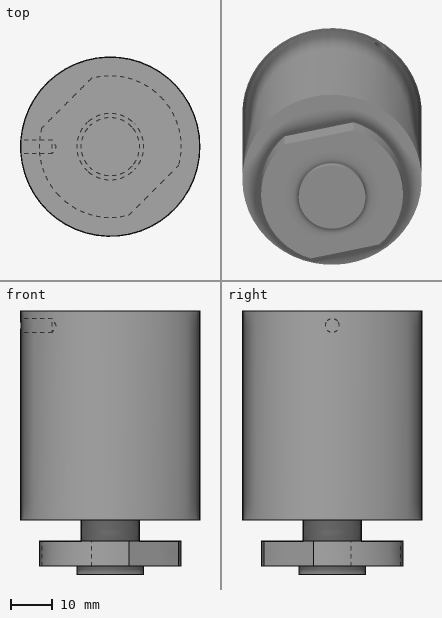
import cadquery as cq

total_height = 63.2
body_diameter = 43.0

stub_diameter = 16.0
stub_height = 2.0
plate_diameter = 34.0
plate_width_across_flats = 29.5
plate_height = 6.0
plate_angle = 45.0
neck_diameter = 13.95
neck_height = 5.0
body_height = total_height - stub_height - plate_height - neck_height

hole_diameter = 3.3
hole_drop = 3.55
hole_depth = 7.6
hole_tip_length = 0.95


def cylinder(diameter, bottom, height):
    return cq.Workplane("XY").workplane(offset=bottom).circle(diameter / 2).extrude(height)


def locking_plate(bottom):
    """Round plate with two parallel flats facing +X-Y and -X+Y."""
    flats = (
        cq.Workplane("XY")
        .workplane(offset=bottom)
        .transformed(rotate=(0, 0, plate_angle))
        .rect(plate_diameter, plate_width_across_flats)
        .extrude(plate_height)
    )
    return cylinder(plate_diameter, bottom, plate_height).intersect(flats)


def radial_hole():
    """Drilled hole entering from -X, revolved about its own axis."""
    radius = hole_diameter / 2
    entry_x = -body_diameter / 2
    floor_x = entry_x + hole_depth
    axis_z = total_height - hole_drop
    return (
        cq.Workplane("XZ", origin=(0, 0, axis_z))
        .moveTo(entry_x, 0)
        .lineTo(entry_x, radius)
        .lineTo(floor_x, radius)
        .lineTo(floor_x + hole_tip_length, 0)
        .close()
        .revolve(360, (0, 0, 0), (1, 0, 0))
    )


plate_bottom = stub_height
neck_bottom = plate_bottom + plate_height
body_bottom = neck_bottom + neck_height

result = (
    cylinder(stub_diameter, 0, stub_height)
    .union(locking_plate(plate_bottom))
    .union(cylinder(neck_diameter, neck_bottom, neck_height))
    .union(cylinder(body_diameter, body_bottom, body_height))
    .cut(radial_hole())
)